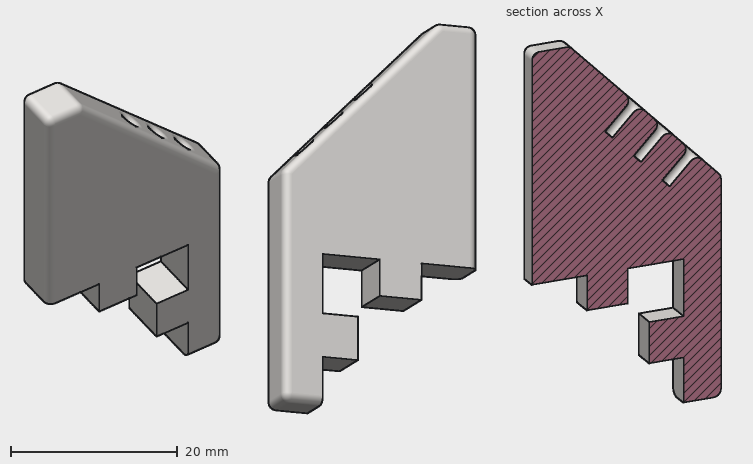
import cadquery as cq
import math

thickness = 6.0
depth = 25.0
height = 48.5

leg_width = 5.0
top_width = leg_width
slope_angle = 45.0
edge_radius = 1.0

body_bottom = 18.55
tab_width = 5.4
tab_length = 4.5
tab_gap = 7.3

hole_diameter = 1.3
hole_depth = 5.0
flare_radius = 1.05
hole_pitch = 5.35
hole_count = 3
middle_hole_y = 17.45

leg_front = depth - leg_width
slope_run = depth - top_width
slope_fall = math.tan(math.radians(slope_angle))
slope_bottom = height - slope_run * slope_fall
middle_hole_z = height - (middle_hole_y - top_width) * slope_fall


def make_blank():
    """Plate with a cut-off upper back corner and all edges rounded."""
    outline = [(0, 0), (depth, 0), (depth, slope_bottom), (top_width, height), (0, height)]
    plate = cq.Workplane("YZ").polyline(outline).close().extrude(thickness / 2, both=True)
    return plate.edges().fillet(edge_radius)


def make_block(front, bottom, length, rise):
    """Sharp-edged block across the full thickness."""
    block = cq.Workplane("XY").box(thickness, length, rise, centered=(True, False, False))
    return block.translate((0, front, bottom))


def make_hole():
    """Cutter for one hole, opening at the origin and widening there in a rounded flare."""
    hole_radius = hole_diameter / 2
    rim_radius = hole_radius + flare_radius
    profile = (
        cq.Workplane("XZ")
        .lineTo(rim_radius, 0)
        .radiusArc((hole_radius, -flare_radius), -flare_radius)
        .lineTo(hole_radius, -hole_depth)
        .lineTo(0, -hole_depth)
        .close()
    )
    upright = profile.revolve(360, (0, 0, 0), (0, 1, 0))
    return upright.rotate((0, 0, 0), (1, 0, 0), -slope_angle)


notch = make_block(0, 0, leg_front, body_bottom)
hanging_tab = make_block(leg_front - tab_gap - tab_width, body_bottom - tab_length, tab_width, tab_length)
leg_tab = make_block(leg_front - tab_length, body_bottom - tab_gap - tab_width, tab_length, tab_width)

result = make_blank().cut(notch).union(hanging_tab).union(leg_tab)

hole_step = hole_pitch * math.cos(math.radians(slope_angle))
for index in range(hole_count):
    shift = (index - (hole_count - 1) / 2) * hole_step
    place = (0, middle_hole_y + shift, middle_hole_z - shift * slope_fall)
    result = result.cut(make_hole().translate(place))